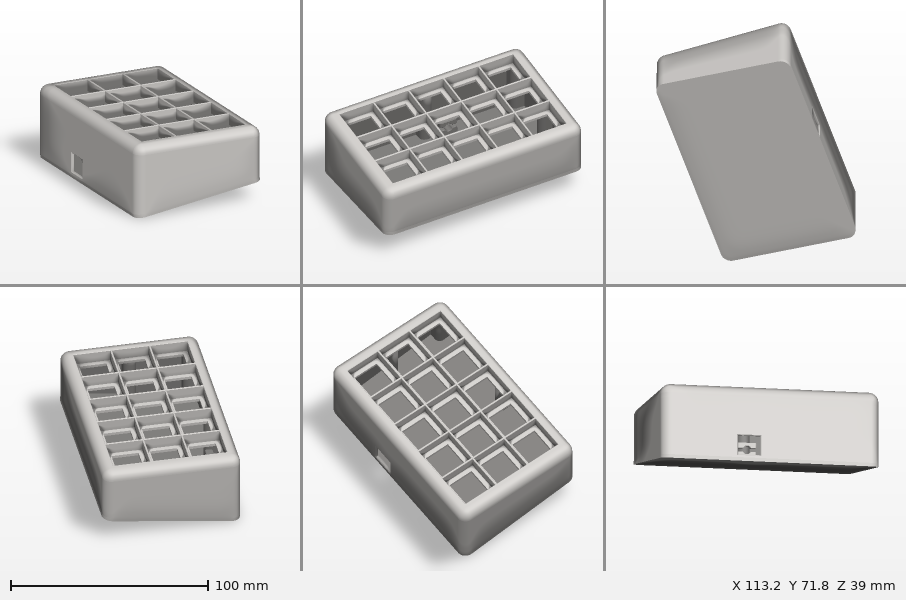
import cadquery as cq
import math

width = 113.2
overall_depth = 71.8
floor_thickness = 1.8
floor_tilt = 8.0
corner_radius = 5.0
wall = 1.5

tilt_sin = math.sin(math.radians(floor_tilt))
tilt_cos = math.cos(math.radians(floor_tilt))
depth = overall_depth - floor_thickness * tilt_sin
front_y = -depth / 2

key_plate = 1.5
pocket_depth = 6.0
lid_height = key_plate + pocket_depth
lid_bottom = 29.7

columns, rows = 5, 3
pocket_size = 19.0
key_rib = 0.98
key_pitch = pocket_size + key_rib
switch_hole = 14.0
pocket_chamfer = 0.2

boss_size = 6.7
boss_radius = 3.2

window_x = -11.4
window_width = 11.9
window_height = 10.0
window_sill = 1.5
window_chamfer = 0.4

clamp_width = 9.8
clamp_thickness = 4.2
clamp_setback = 5.9
clamp_corner_radius = 1.0
clamp_chamfer = 0.2
clamp_base_height = 3.3
clamp_gap = 1.7
clamp_cap_height = 2.8
cable_diameter = 4.2
groove_inset = 0.8

floor_normal = cq.Vector(0, -tilt_sin, tilt_cos)
floor_plane = cq.Plane(origin=(0, front_y, 0), xDir=(1, 0, 0), normal=floor_normal)


def rounded_block(bottom, height):
    """Block with the outer outline of the enclosure."""
    return (
        cq.Workplane("XY", origin=(0, 0, bottom))
        .rect(width, depth)
        .extrude(height)
        .edges("|Z")
        .fillet(corner_radius)
    )


def above_floor(body):
    """Part of a body that lies above the top of the tilted floor."""
    reach = 2 * width
    below = cq.Workplane(floor_plane).rect(reach, reach).extrude(-reach)
    return body.cut(below)


def make_lid():
    """Rounded lid with a grid of key pockets, each with a square switch hole."""
    lid = rounded_block(lid_bottom, lid_height).faces(">Z").edges().fillet(corner_radius)
    top = cq.Workplane("XY", origin=(0, 0, lid_bottom + lid_height))
    grid = top.rarray(key_pitch, key_pitch, columns, rows)
    pockets = grid.rect(pocket_size, pocket_size).extrude(-pocket_depth)
    lead_in_size = pocket_size + 2 * pocket_chamfer
    lead_ins = grid.rect(lead_in_size, lead_in_size).extrude(-pocket_chamfer, taper=45)
    holes = grid.rect(switch_hole, switch_hole).extrude(-lid_height)
    return lid.cut(pockets).cut(lead_ins).cut(holes)


def make_boss(side_x, side_y):
    """Vertical solid boss; each side is -1, 0 or 1 for the wall it stands against."""
    x = side_x * (width / 2 - wall - boss_size / 2)
    y = side_y * (depth / 2 - wall - boss_size / 2)
    boss = cq.Workplane("XY", origin=(x, y, 0)).rect(boss_size, boss_size).extrude(lid_bottom)
    free_edges = ["|Z"]
    if side_x:
        free_edges.append("<X" if side_x > 0 else ">X")
    if side_y:
        free_edges.append("<Y" if side_y > 0 else ">Y")
    return boss.edges(" and ".join(free_edges)).fillet(boss_radius)


def make_bosses():
    """Eight bosses: one in each corner and one in the middle of each wall."""
    bosses = cq.Workplane("XY")
    for side_x in (-1, 0, 1):
        for side_y in (-1, 0, 1):
            if side_x or side_y:
                bosses = bosses.add(make_boss(side_x, side_y))
    return bosses.combine()


def clamp_block(bottom, height, groove_height):
    """One half of the cable clamp, with its cable groove and chamfered edges."""
    block = (
        cq.Workplane(floor_plane)
        .workplane(offset=bottom)
        .center(window_x, clamp_setback + clamp_thickness / 2)
        .rect(clamp_width, clamp_thickness)
        .extrude(height)
    )
    upright = cq.selectors.ParallelDirSelector(floor_normal)
    block = block.edges(upright).fillet(clamp_corner_radius)
    groove_start = floor_plane.toWorldCoords((window_x, 0, groove_height))
    groove_length = clamp_setback + 2 * clamp_thickness
    groove = cq.Solid.makeCylinder(
        cable_diameter / 2, groove_length, groove_start, floor_plane.yDir
    )
    block = block.cut(cq.Workplane(groove))
    return block.edges(cq.selectors.InverseSelector(upright)).chamfer(clamp_chamfer)


def make_window():
    """Opening through the front wall, with its outer edge chamfered."""
    outer = cq.Workplane("XZ", origin=(window_x, front_y, window_sill + window_height / 2))
    opening = outer.rect(window_width, window_height).extrude(-wall)
    lead_in = outer.rect(
        window_width + 2 * window_chamfer, window_height + 2 * window_chamfer
    ).extrude(-window_chamfer, taper=45)
    return opening.union(lead_in)


def make_clamp_base():
    """Lower clamp half, rooted in the floor so that only its upper edges are chamfered."""
    root = floor_thickness / 2
    groove_height = clamp_base_height + groove_inset
    return clamp_block(-root, clamp_base_height + root, groove_height)


def make_clamp_cap():
    """Loose upper clamp half, held above the lower one by the clamp gap."""
    cap_bottom = clamp_base_height + clamp_gap
    return clamp_block(cap_bottom, clamp_cap_height, cap_bottom - groove_inset)


def make_base():
    """Walls, window and bosses on the tilted floor slab, with the lower clamp half."""
    outer = above_floor(rounded_block(-depth * tilt_sin, lid_bottom + depth * tilt_sin))
    cavity = cq.Workplane("XY").rect(width - 2 * wall, depth - 2 * wall).extrude(lid_bottom)
    underside = outer.faces("<Z").val()
    floor = cq.Solid.extrudeLinear(underside.outerWire(), [], floor_normal * -floor_thickness)
    base = outer.cut(cavity).cut(make_window())
    base = base.union(above_floor(make_bosses())).union(cq.Workplane(floor))
    return base.union(make_clamp_base())


lid = make_lid()
base = make_base()
clamp_cap = make_clamp_cap()

result = cq.Compound.makeCompound([lid.val(), base.val(), clamp_cap.val()])